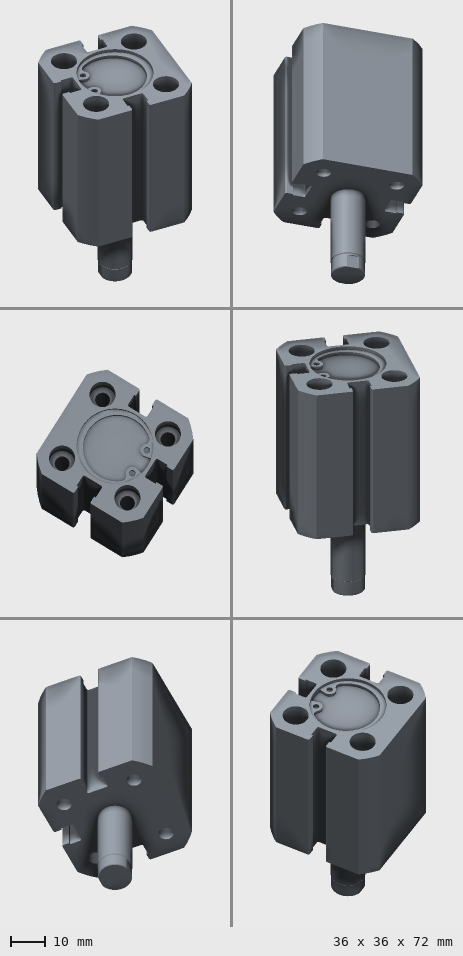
import cadquery as cq
import math

overall_length = 72.0

side = 36.0
half_side = side / 2
housing_height = 46.0
corner_radius = 22.5
corner_half_flat = math.sqrt(corner_radius**2 - half_side**2)
corner_diagonal = corner_radius / math.sqrt(2)

hole_pitch = 22.0
hole_diameter = 4.25
counterbore_diameter = 7.5
counterbore_depth = 7.2

slot_depth = 6.05
slot_width = 6.5
lip_depth = 2.3
mouth_width = 5.4
mouth_round = 0.5
slot_round = 0.5
slot_angles = (-90, 0, 180)

bore_diameter = 22.0
ring_recess = 1.1
ring_thickness = 1.1
cover_thickness = 7.2
ring_bottom = housing_height - ring_recess - ring_thickness
cover_bottom = ring_bottom - cover_thickness

ring_inner_diameter = 19.5
ring_inner_offset = -0.65
lug_x = 3.95
lug_y = -8.3
lug_radius = 1.9
lug_hole_diameter = 1.9
lug_blend_radius = 1.5

rod_diameter = 10.0
rod_end_z = housing_height - overall_length
exposed_shank_length = 21.5
shoulder_z = -exposed_shank_length
rod_chamfer = 0.2
end_diameter = 9.8
end_chamfer = 0.2
flats_width = 9.1
flats_length = 3.95


def make_slot(angle):
    """T-slot cutter on the +X side, turned to the given angle about Z."""
    floor_x = half_side - slot_depth
    lip_x = half_side - lip_depth
    pocket = (
        cq.Workplane("XY")
        .box(lip_x - floor_x, slot_width, housing_height, centered=(False, True, False))
        .translate((floor_x, 0, 0))
        .edges("|Z and <X")
        .fillet(slot_round)
    )
    mouth_half = mouth_width / 2
    mouth = (
        cq.Workplane("XY")
        .moveTo(lip_x, -mouth_half)
        .lineTo(half_side - mouth_round, -mouth_half)
        .radiusArc((half_side, -mouth_half - mouth_round), mouth_round)
        .lineTo(half_side, mouth_half + mouth_round)
        .radiusArc((half_side - mouth_round, mouth_half), mouth_round)
        .lineTo(lip_x, mouth_half)
        .close()
        .extrude(housing_height)
    )
    return pocket.union(mouth).rotate((0, 0, 0), (0, 0, 1), angle)


def make_housing():
    h, f, d = half_side, corner_half_flat, corner_diagonal
    body = (
        cq.Workplane("XY")
        .moveTo(f, -h)
        .threePointArc((d, -d), (h, -f))
        .lineTo(h, f)
        .threePointArc((d, d), (f, h))
        .lineTo(-f, h)
        .threePointArc((-d, d), (-h, f))
        .lineTo(-h, -f)
        .threePointArc((-d, -d), (-f, -h))
        .close()
        .extrude(housing_height)
    )
    body = (
        body.faces(">Z")
        .workplane(origin=(0, 0, housing_height))
        .rect(hole_pitch, hole_pitch, forConstruction=True)
        .vertices()
        .cboreHole(hole_diameter, counterbore_diameter, counterbore_depth)
    )
    for angle in slot_angles:
        body = body.cut(make_slot(angle))
    bore = cq.Workplane("XY", origin=(0, 0, cover_bottom)).circle(bore_diameter / 2)
    rod_hole = cq.Workplane("XY").circle(rod_diameter / 2).extrude(cover_bottom)
    return body.cut(bore.extrude(housing_height - cover_bottom)).cut(rod_hole)


def make_cover():
    base = cq.Workplane("XY", origin=(0, 0, cover_bottom))
    return base.circle(bore_diameter / 2).extrude(cover_thickness)


def make_retaining_ring():
    """Open ring with an eccentric inner edge and two pierced lugs beside its gap."""
    base = cq.Workplane("XY", origin=(0, 0, ring_bottom))
    disc = base.circle(bore_diameter / 2).extrude(ring_thickness)
    opening = base.center(0, ring_inner_offset).circle(ring_inner_diameter / 2).extrude(ring_thickness)
    lug_points = [(-lug_x, lug_y), (lug_x, lug_y)]
    ring = disc.cut(opening)

    lug_distance = math.hypot(lug_x, lug_y)
    gap_angle = math.atan2(lug_x, -lug_y) - math.asin(lug_radius / lug_distance)
    gap_half = bore_diameter * math.tan(gap_angle)
    tangent_length = math.sqrt(lug_distance**2 - lug_radius**2)
    tangent_x = tangent_length * math.sin(gap_angle)
    tangent_y = -tangent_length * math.cos(gap_angle)

    for sign in (-1, 1):
        lug = base.center(sign * lug_x, lug_y).circle(lug_radius).extrude(ring_thickness)
        root_points = [
            (sign * lug_x, lug_y),
            (sign * tangent_x, tangent_y),
            (sign * gap_half, -bore_diameter),
            (sign * 2 * lug_x, 2 * lug_y),
        ]
        root = base.polyline(root_points).close().extrude(ring_thickness)
        ring = ring.union(lug.union(root).intersect(disc))

    gap = (
        base.polyline([(0, 0), (-gap_half, -bore_diameter), (gap_half, -bore_diameter)])
        .close()
        .extrude(ring_thickness)
    )
    ring = ring.cut(gap)

    blend_edges = [
        edge
        for edge in ring.edges("|Z").vals()
        if abs(edge.Center().x) > lug_x and edge.Center().y < 0
    ]
    ring = ring.newObject(blend_edges).fillet(lug_blend_radius)
    holes = base.pushPoints(lug_points).circle(lug_hole_diameter / 2).extrude(ring_thickness)
    return ring.cut(holes)


def make_rod():
    shank = (
        cq.Workplane("XY", origin=(0, 0, shoulder_z))
        .circle(rod_diameter / 2)
        .extrude(cover_bottom - shoulder_z)
        .faces("<Z")
        .chamfer(rod_chamfer)
    )
    tip = (
        cq.Workplane("XY", origin=(0, 0, rod_end_z))
        .circle(end_diameter / 2)
        .extrude(shoulder_z - rod_end_z)
        .faces("<Z")
        .chamfer(end_chamfer)
    )
    cutter = cq.Workplane("XY", origin=(0, 0, rod_end_z)).rect(2 * rod_diameter, 2 * rod_diameter)
    keep = cq.Workplane("XY", origin=(0, 0, rod_end_z)).rect(2 * rod_diameter, flats_width)
    flats = cutter.extrude(flats_length).cut(keep.extrude(flats_length))
    return shank.union(tip.cut(flats))


housing = make_housing()
cover = make_cover()
retaining_ring = make_retaining_ring()
rod = make_rod()

result = cq.Compound.makeCompound(
    [body.solids().val() for body in (housing, cover, retaining_ring, rod)]
)